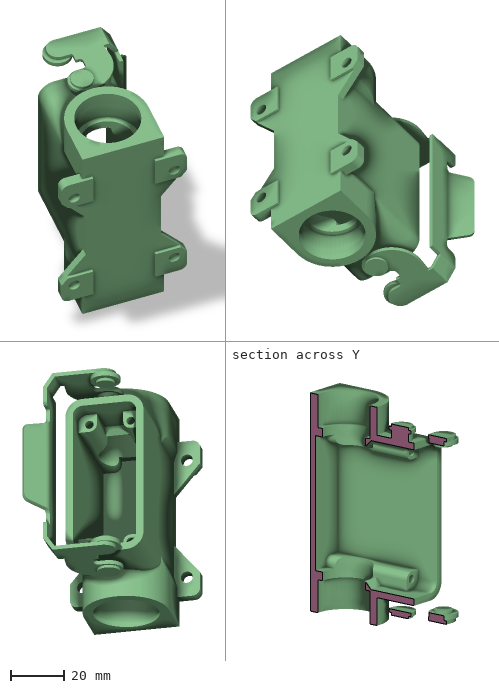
import cadquery as cq
import math


total_height = 85
body_depth = 50.75
body_width = 30.1
body_height = 63.3
body_corner_radius = 6.55
wall = 2.8
step_height = 2.7
step_end_x = 23.8

boss_radius = 16.4
boss_center_x = body_depth - boss_radius
boss_start_z = 23.4
boss_start_half_width = body_width / 2
boss_full_width_z = 27.8
entry_radius = 12.6
entry_depth = 12.8
bore_radius = 10.45

post_front_x = 8.75
post_y = 8.0
post_z = 24.7
post_radius = 2.9
post_hole_radius = 1.6
post_hole_depth = 10.2

foot_front_x = 47.8
foot_half_width = 25.2
foot_half_height = 31.8
foot_corner_radius = 3.0
foot_side_end_z = 22.35
foot_slope_angle = 50
foot_hole_y = 20.1
foot_hole_z = 24.0
foot_hole_radius = 2.3
pad_back_x = 51.9
pad_inner_y = 12.5
pad_inner_z = 19.4

sheet = 1.5
lever_left_x = -15.9
arm_right_x = -6.8
front_right_x = -1.7
lever_outer_y = 19.9
lever_inner_y = lever_outer_y - sheet
arm_top_z = 36.2
arm_bottom_z = arm_top_z - sheet
outer_bend_y = 16.15
outer_bend_z = 30.85
inner_bend_y = 15.3
inner_bend_z = 30.3
front_half_height = 30.5
bend_overlap = 0.85

grip_angle = 50
grip_bend_x = -11.1
grip_bend_radius = 2.8
grip_tip_x = -19.1
grip_tip_half_height = 14.9
grip_root_half_height = 18.4
grip_zone_half_height = 21.25
notch_x = -10.8
notch_z = 23.7
notch_radius = 0.9
leg_corner_radius = 2.1
grip_root_radius = 3.0
grip_tip_radius = 2.9

arm_left_end_y = -1.7
arm_tip_y = -7.1
hook_step_x = -3.4
hook_step_y = 1.45
hook_top_y = 4.0
hook_top_end_x = 0.2
hook_side_y = 1.95
hook_step_radius = 0.8
hook_corner_radius = 1.3
hook_end_radius = 1.9
arm_back_end_y = 13.85
arm_crest = (-2.4, 14.4)
arm_crest_middle = (10.8, 8.3)

pivot_x = 7.05
pivot_radius = 4.4
pivot_top_z = 37.2
pivot_root_z = 30.6
arm_end_radius = 5.4
roller_x = -10.9
roller_y = -3.1
rivet_radius = 1.7
roller_radius = 5.6
roller_bottom_z = 32.9
knob_radius = 3.6
knob_bottom_z = 31.8


def mirrored_in_z(solid):
    """Return the solid's mirror image across the Z = 0 plane."""
    return solid.mirror("XY")


def x_block(width, height, x_start, x_end, corner_radius):
    """Block along X, centred on Y = Z = 0, with rounded long edges."""
    block = cq.Workplane("YZ", origin=(x_start, 0, 0)).rect(width, height).extrude(x_end - x_start)
    return block.edges("|X").fillet(corner_radius)


def z_cylinder(radius, x, y, z_start, z_end):
    """Cylinder along Z between two heights."""
    return cq.Workplane("XY", origin=(x, y, z_start)).circle(radius).extrude(z_end - z_start)


def entry_boss():
    """Upper boss: round towards the mouth, square at the back, narrowing where it meets the body."""
    front = z_cylinder(boss_radius, boss_center_x, 0, boss_start_z, total_height / 2)
    square = cq.Workplane("XY").box(
        boss_radius, 2 * boss_radius, total_height / 2 - boss_start_z, centered=(False, True, False)
    ).translate((boss_center_x, 0, boss_start_z))
    side_limits = (
        cq.Workplane("YZ")
        .polyline([
            (-boss_start_half_width, boss_start_z),
            (boss_start_half_width, boss_start_z),
            (boss_radius, boss_full_width_z),
            (boss_radius, total_height / 2),
            (-boss_radius, total_height / 2),
            (-boss_radius, boss_full_width_z),
        ])
        .close()
        .extrude(body_depth)
    )
    return front.union(square).intersect(side_limits)


def mounting_foot():
    """Foot in the +Y, +Z quadrant with a raised pad on its mounting face."""
    slope = math.tan(math.radians(foot_slope_angle))
    root_z = foot_side_end_z - slope * (foot_half_width - pad_inner_y)
    outline = (
        cq.Workplane("YZ", origin=(foot_front_x, 0, 0))
        .moveTo(pad_inner_y, root_z)
        .lineTo(foot_half_width, foot_side_end_z)
        .lineTo(foot_half_width, foot_half_height)
        .lineTo(pad_inner_y, foot_half_height)
        .close()
        .extrude(pad_back_x - foot_front_x)
        .edges("|X and >Y and >Z")
        .fillet(foot_corner_radius)
    )
    plate_zone = cq.Workplane("XY").box(
        body_depth - foot_front_x, foot_half_width, foot_half_height, centered=False
    ).translate((foot_front_x, 0, 0))
    pad_zone = cq.Workplane("XY").box(
        pad_back_x - body_depth, foot_half_width - pad_inner_y, foot_half_height - pad_inner_z, centered=False
    ).translate((body_depth, pad_inner_y, pad_inner_z))
    hole = (
        cq.Workplane("YZ", origin=(foot_front_x, 0, 0))
        .center(foot_hole_y, foot_hole_z)
        .circle(foot_hole_radius)
        .extrude(pad_back_x - foot_front_x)
    )
    return outline.intersect(plate_zone.union(pad_zone)).cut(hole)


def cavity():
    """Inside of the housing: full height at the mouth, sloping in under the bosses."""
    floor_x = body_depth - wall
    half_height = body_height / 2 - wall
    inner_half_height = half_height - step_height
    pocket = x_block(body_width - 2 * wall, 2 * half_height, 0, floor_x, body_corner_radius - wall)
    side_limits = (
        cq.Workplane("XZ")
        .polyline([
            (0, -half_height),
            (step_end_x - step_height, -half_height),
            (step_end_x, -inner_half_height),
            (floor_x, -inner_half_height),
            (floor_x, inner_half_height),
            (step_end_x, inner_half_height),
            (step_end_x - step_height, half_height),
            (0, half_height),
        ])
        .close()
        .extrude(body_width / 2, both=True)
    )
    return pocket.intersect(side_limits)


def screw_posts():
    """Four posts from the cavity floor, merged with its corners, each with a blind hole."""
    length = body_depth - wall - post_front_x
    corner_y = body_width / 2 - wall
    corner_z = body_height / 2 - wall
    width = corner_y - post_y + post_radius
    height = corner_z - post_z + post_radius
    post = (
        cq.Workplane("YZ", origin=(post_front_x, 0, 0))
        .center(corner_y - width / 2, corner_z - height / 2)
        .rect(width, height)
        .extrude(length)
        .edges("|X and <Y and <Z")
        .fillet(post_radius)
        .edges("|X and >Y and >Z")
        .fillet(body_corner_radius - wall)
    )
    hole = (
        cq.Workplane("YZ", origin=(post_front_x, 0, 0))
        .center(post_y, post_z)
        .circle(post_hole_radius)
        .extrude(post_hole_depth)
    )
    upper = post.cut(hole)
    upper = upper.union(upper.mirror("XZ"))
    return upper.union(mirrored_in_z(upper))


def housing():
    """Complete fixed housing."""
    boss = entry_boss()
    feet = mounting_foot()
    feet = feet.union(feet.mirror("XZ"))
    body = x_block(body_width, body_height, 0, body_depth, body_corner_radius)
    body = body.union(boss).union(mirrored_in_z(boss))
    body = body.union(feet).union(mirrored_in_z(feet))
    body = body.cut(cavity()).union(screw_posts())
    body = body.cut(z_cylinder(bore_radius, boss_center_x, 0, -total_height / 2, total_height / 2))
    entry = z_cylinder(entry_radius, boss_center_x, 0, total_height / 2 - entry_depth, total_height / 2)
    return body.cut(entry).cut(mirrored_in_z(entry))


def round_corner_pair(solid, x, z, radius):
    """Fillet the two edges that run along Y through (x, z) and (x, -z)."""
    for corner_z in (z, -z):
        solid = solid.edges(cq.selectors.NearestToPointSelector((x, lever_outer_y, corner_z))).fillet(radius)
    return solid


def lever_front():
    """Front strip of the lever with its bent finger grip."""
    grip_taper = (grip_root_half_height - grip_tip_half_height) / (notch_x - grip_tip_x)
    grip_limit_x = grip_tip_x - sheet
    upper_outline = [
        (front_right_x, front_half_height),
        (lever_left_x, front_half_height),
        (lever_left_x, notch_z),
        (notch_x, notch_z),
        (notch_x, grip_root_half_height),
        (grip_limit_x, grip_tip_half_height - grip_taper * (grip_tip_x - grip_limit_x)),
    ]
    lower_outline = [(x, -z) for x, z in reversed(upper_outline)]
    outline = cq.Workplane("XZ").polyline(upper_outline + lower_outline).close().extrude(-2 * lever_outer_y)

    outline = round_corner_pair(outline, lever_left_x, notch_z, leg_corner_radius)
    outline = round_corner_pair(outline, notch_x, notch_z, notch_radius)
    outline = round_corner_pair(outline, notch_x, grip_root_half_height, grip_root_radius)

    flat = cq.Workplane("XY").box(
        front_right_x - lever_left_x, sheet, 2 * front_half_height, centered=(False, False, True)
    ).translate((lever_left_x, lever_inner_y, 0))
    grip_gap = cq.Workplane("XY").box(
        grip_bend_x - lever_left_x, sheet, 2 * grip_zone_half_height, centered=(False, False, True)
    ).translate((lever_left_x, lever_inner_y, 0))

    bend_y = lever_inner_y + grip_bend_radius

    def bend_point(radius, degrees):
        angle = math.radians(degrees)
        return (grip_bend_x - radius * math.sin(angle), bend_y - radius * math.cos(angle))

    inside_radius = grip_bend_radius - sheet
    straight_start = bend_point(grip_bend_radius, grip_angle)
    straight_run = straight_start[0] - grip_tip_x
    straight_rise = straight_run * math.tan(math.radians(grip_angle))
    inside_end = bend_point(inside_radius, grip_angle)
    grip = (
        cq.Workplane("XY", origin=(0, 0, -grip_zone_half_height))
        .moveTo(grip_bend_x, lever_inner_y)
        .threePointArc(bend_point(grip_bend_radius, grip_angle / 2), straight_start)
        .lineTo(grip_tip_x, straight_start[1] + straight_rise)
        .lineTo(inside_end[0] - straight_run, inside_end[1] + straight_rise)
        .lineTo(*inside_end)
        .threePointArc(bend_point(inside_radius, grip_angle / 2), (grip_bend_x, lever_outer_y))
        .close()
        .extrude(2 * grip_zone_half_height)
    )
    grip = grip.intersect(outline)
    tip_face = grip.faces(">Y")
    grip = grip.newObject(tip_face.edges("not |Z").vals()).fillet(grip_tip_radius)
    return flat.cut(grip_gap).intersect(outline).union(grip)


def lever_arm():
    """Upper end of the lever: the slanted bend and the hooked arm, with its rivet hole."""
    bend = (
        cq.Workplane("YZ", origin=(lever_left_x, 0, 0))
        .polyline([
            (lever_outer_y, inner_bend_z - bend_overlap),
            (lever_outer_y, outer_bend_z),
            (outer_bend_y, arm_top_z),
            (inner_bend_y, arm_top_z),
            (inner_bend_y, arm_bottom_z),
            (lever_inner_y, inner_bend_z),
            (lever_inner_y, inner_bend_z - bend_overlap),
        ])
        .close()
        .extrude(arm_right_x - lever_left_x)
    )
    arm = (
        cq.Workplane("XY", origin=(0, 0, arm_bottom_z))
        .moveTo(lever_left_x, inner_bend_y)
        .lineTo(lever_left_x, arm_left_end_y)
        .threePointArc((roller_x, arm_tip_y), (arm_right_x, roller_y))
        .lineTo(arm_right_x, hook_step_y - hook_step_radius)
        .radiusArc((arm_right_x + hook_step_radius, hook_step_y), hook_step_radius)
        .lineTo(hook_step_x, hook_step_y)
        .lineTo(hook_step_x, hook_top_y - hook_corner_radius)
        .radiusArc((hook_step_x + hook_corner_radius, hook_top_y), hook_corner_radius)
        .lineTo(hook_top_end_x, hook_top_y)
        .radiusArc((pivot_x - arm_end_radius, hook_side_y), hook_end_radius)
        .lineTo(pivot_x - arm_end_radius, 0)
        .threePointArc((pivot_x, -arm_end_radius), (pivot_x + arm_end_radius, 0))
        .threePointArc(arm_crest_middle, arm_crest)
        .lineTo(arm_right_x, arm_back_end_y)
        .lineTo(arm_right_x, inner_bend_y)
        .close()
        .extrude(sheet)
    )
    rivet_hole = z_cylinder(rivet_radius, roller_x, roller_y, arm_bottom_z, arm_top_z)
    return bend.union(arm).cut(rivet_hole)


def catch_roller():
    """Roller under the arm, its end knob, and the rivet ending flush with the arm."""
    roller = z_cylinder(roller_radius, roller_x, roller_y, roller_bottom_z, arm_bottom_z)
    knob = z_cylinder(knob_radius, roller_x, roller_y, knob_bottom_z, roller_bottom_z)
    rivet = z_cylinder(rivet_radius, roller_x, roller_y, roller_bottom_z, arm_top_z)
    return roller.union(knob).union(rivet)


def lever_sheet():
    """Complete bent lever, from the lower arm round to the upper arm."""
    arm = lever_arm()
    return lever_front().union(arm).union(mirrored_in_z(arm))


upper_pin = z_cylinder(pivot_radius, pivot_x, 0, pivot_root_z, pivot_top_z)
lower_pin = z_cylinder(pivot_radius, pivot_x, 0, -pivot_top_z, -arm_bottom_z)
result = housing().union(upper_pin).union(lever_sheet()).union(lower_pin)

upper_roller = catch_roller()
for roller in (upper_roller, mirrored_in_z(upper_roller)):
    result = result.union(roller, clean=False)